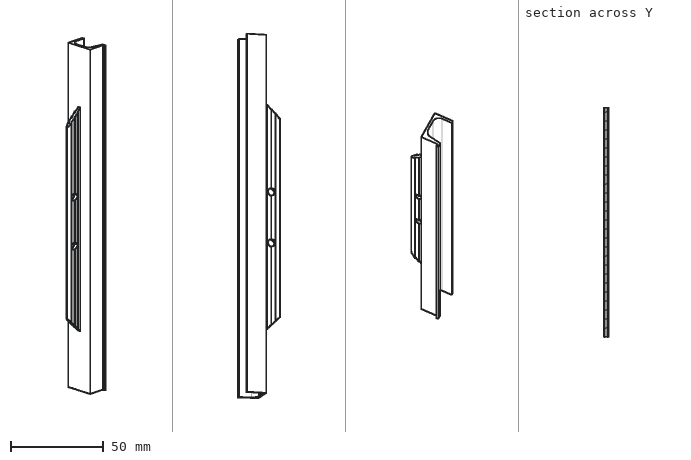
import cadquery as cq

total_length = 197.0
total_width = 17.7
total_depth = 20.7

channel_width = 16.4
channel_depth = 10.8
floor_thickness = 1.4
left_wall = 1.4
right_wall_base = 2.8
right_wall_top = 1.2
lip_thickness = 1.2
corner_radius = 3.5

peg_diameter = 2.4
peg_height = 0.5
peg_inset = 2.4

fin_x = 8.3
fin_depth = total_depth - channel_depth
fin_root_length = 127.7
fin_tip_length = 108.7
barb_pitch = 2.4
barb_count = 3
fin_neck_half = 0.8
fin_barb_half = 1.4
fin_tip_half = 0.4
fin_hole_diameter = 4.0
fin_hole_spacing = 28.0

channel_length = total_length - peg_height
middle_z = total_length / 2 - peg_height


def make_channel():
    """U section with a tapered right wall that ends in an outward lip."""
    outline = (
        cq.Workplane("XY")
        .polyline([
            (0, 0),
            (channel_width, 0),
            (channel_width, channel_depth - lip_thickness),
            (total_width, channel_depth - lip_thickness),
            (total_width, channel_depth),
            (channel_width - right_wall_top, channel_depth),
            (channel_width - right_wall_base, floor_thickness),
            (left_wall, floor_thickness),
            (left_wall, channel_depth),
            (0, channel_depth),
        ])
        .close()
        .extrude(channel_length)
    )
    inner_corners = cq.selectors.BoxSelector(
        (left_wall / 2, floor_thickness / 2, 0),
        (channel_width - right_wall_base / 2, floor_thickness * 1.5, channel_length),
    )
    return outline.edges("|Z").edges(inner_corners).fillet(corner_radius)


def make_fin():
    """Fir-tree section along Z, trimmed to a trapezoid and cross-drilled."""
    half_section = [(fin_neck_half, 0)]
    for barb in range(1, barb_count + 1):
        step = barb * barb_pitch
        half_section += [(fin_neck_half, step), (fin_barb_half, step)]
    half_section.append((fin_tip_half, fin_depth))
    right_side = [(fin_x + half, -out) for half, out in half_section]
    left_side = [(fin_x - half, -out) for half, out in reversed(half_section)]
    bar = cq.Workplane("XY").polyline(right_side + left_side).close().extrude(channel_length)

    side_outline = (
        cq.Workplane("YZ")
        .polyline([
            (0, middle_z - fin_root_length / 2),
            (0, middle_z + fin_root_length / 2),
            (-fin_depth, middle_z + fin_tip_length / 2),
            (-fin_depth, middle_z - fin_tip_length / 2),
        ])
        .close()
        .extrude(channel_width)
    )
    holes = (
        cq.Workplane("YZ")
        .pushPoints([(-fin_depth / 2, middle_z + side * fin_hole_spacing / 2) for side in (-1, 1)])
        .circle(fin_hole_diameter / 2)
        .extrude(channel_width)
    )
    return bar.intersect(side_outline).cut(holes)


def make_peg():
    """Short round peg below the bottom end of the channel."""
    return (
        cq.Workplane("XY")
        .center(peg_inset, peg_inset)
        .circle(peg_diameter / 2)
        .extrude(-peg_height)
    )


result = make_channel().union(make_fin()).union(make_peg())